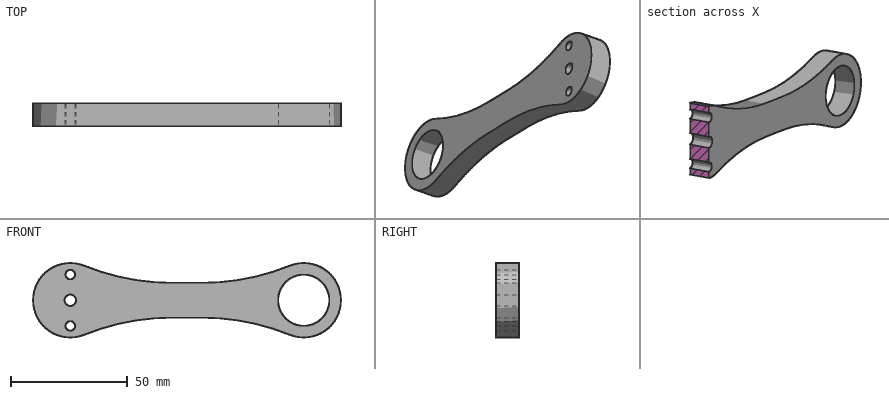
import cadquery as cq
import math

center_distance = 100.0
thickness = 10.0
end_radius = 16.0
waist_height = 15.0
flank_radius = 100.0
bore_diameter = 21.85
pivot_hole_diameter = 4.8
side_hole_diameter = 4.0
side_hole_offset = 11.0

back_y = thickness / 2

end_x = center_distance / 2
waist_z = waist_height / 2
flank_center_z = waist_z + flank_radius
flank_run = math.sqrt((end_radius + flank_radius) ** 2 - flank_center_z ** 2)
flank_center_x = end_x - flank_run
blend_ratio = end_radius / (end_radius + flank_radius)
blend_x = end_x - blend_ratio * flank_run
blend_z = blend_ratio * flank_center_z


def arc_middle(center_x, center_z, radius, start, end):
    """Point on the circle halfway between two of its points along the shorter arc."""
    toward_x = (start[0] + end[0]) / 2 - center_x
    toward_z = (start[1] + end[1]) / 2 - center_z
    reach = radius / math.hypot(toward_x, toward_z)
    return (center_x + reach * toward_x, center_z + reach * toward_z)


def make_quarter():
    """Plate quarter at +X, +Z, bounded by the two symmetry planes."""
    end_tip = (end_x + end_radius, 0)
    blend = (blend_x, blend_z)
    waist_end = (flank_center_x, waist_z)
    return (
        cq.Workplane("XZ", origin=(0, back_y, 0))
        .lineTo(*end_tip)
        .threePointArc(arc_middle(end_x, 0, end_radius, end_tip, blend), blend)
        .threePointArc(
            arc_middle(flank_center_x, flank_center_z, flank_radius, blend, waist_end),
            waist_end,
        )
        .lineTo(0, waist_z)
        .close()
        .extrude(thickness)
    )


def make_plate():
    """Full plate, mirrored from its quarter about both symmetry planes."""
    quarter = make_quarter()
    half = quarter.union(quarter.mirror("XY"))
    return half.union(half.mirror("YZ")).clean()


def make_hole(x, z, diameter):
    """Cutter for a round hole through the thickness."""
    return (
        cq.Workplane("XZ", origin=(0, back_y, 0))
        .center(x, z)
        .circle(diameter / 2)
        .extrude(thickness)
    )


result = make_plate()
result = result.cut(make_hole(end_x, 0, bore_diameter))
result = result.cut(make_hole(-end_x, 0, pivot_hole_diameter))
for side in (-1, 1):
    result = result.cut(make_hole(-end_x, side * side_hole_offset, side_hole_diameter))